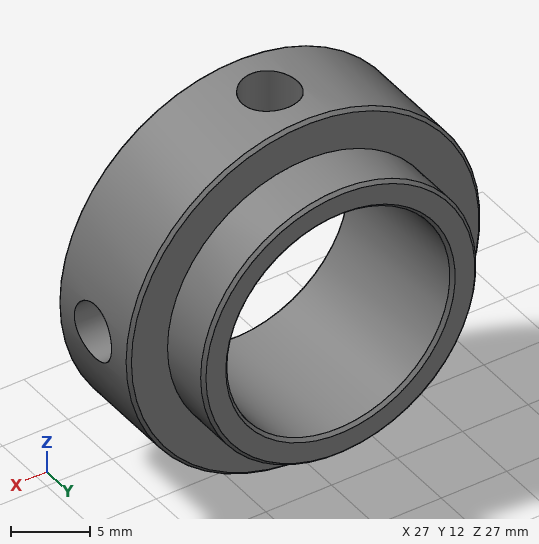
import cadquery as cq

collar_diameter = 27.0
collar_length = 8.0
hub_diameter = 21.0
total_length = 12.0
bore_diameter = 17.0
edge_chamfer = 0.25
screw_hole_diameter = 4.2

collar_radius = collar_diameter / 2
screw_hole_y = collar_length / 2


def cylinder_along_y(diameter, length):
    """Cylinder on the Y axis, from Y = 0 to Y = length."""
    return cq.Workplane("XZ").circle(diameter / 2).extrude(-length)


def radial_hole(direction):
    """Cutter from the ring axis out through one side of the collar."""
    return cq.Workplane(
        cq.Solid.makeCylinder(
            screw_hole_diameter / 2,
            collar_radius,
            cq.Vector(0, screw_hole_y, 0),
            cq.Vector(*direction),
        )
    )


collar = cylinder_along_y(collar_diameter, collar_length).edges().chamfer(edge_chamfer)
hub = cylinder_along_y(hub_diameter, total_length).faces(">Y").edges().chamfer(edge_chamfer)
body = collar.union(hub)

body = body.cut(cylinder_along_y(bore_diameter, total_length))
bore_rims = cq.selectors.RadiusNthSelector(0)
for end_face in ("<Y", ">Y"):
    body = body.faces(end_face).edges(bore_rims).chamfer(edge_chamfer)

for direction in ((1, 0, 0), (0, 0, 1)):
    body = body.cut(radial_hole(direction))

result = body